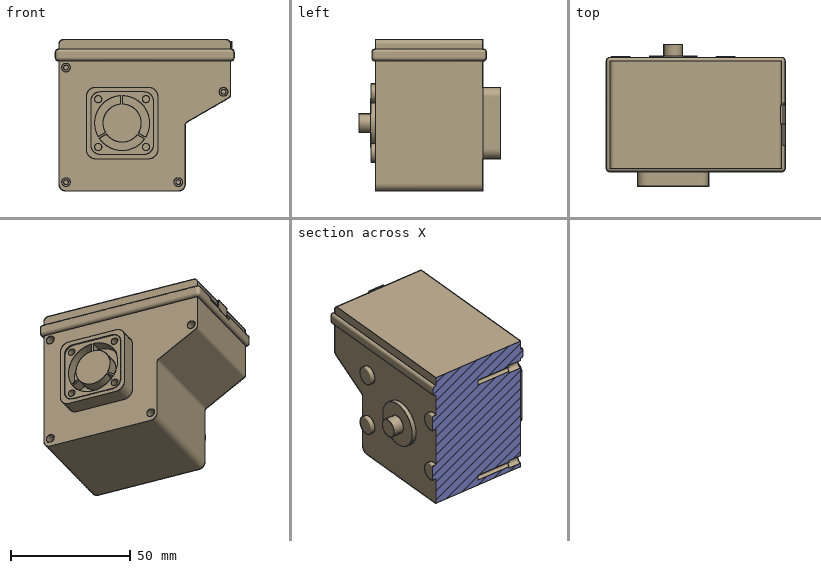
import cadquery as cq
import math

body_depth = 45.0
body_height = 63.5
body_width = 72.0
lower_width = 53.0
base_radius = 3.0
top_radius = 2.0
overhang_angle = 30.0
overhang_start = 28.5
overhang_radius = 1.5
front = -body_depth / 2
back = body_depth / 2

clearance = 0.75

rim_overhang = 1.5
rim_height = 4.95
rim_drop = 4.05
rim_top = body_height - rim_drop
rim_corner_radius = 1.5
rim_edge_radius = 1.35

axis_x = lower_width / 2
axis_z = 28.5
fan_size = 30.0
fan_height = 7.5
fan_corner_radius = 4.0
fan_recess_inset = 1.9
fan_recess_depth = 0.5
fan_hole_spacing = 20.0
fan_hole_diameter = 3.0
fan_hole_depth = 6.0
duct_diameter = 23.0
hub_diameter = 16.0
duct_depth = 5.5
spoke_count = 3
first_spoke_angle = -90
spoke_width = 0.8
spokes_shift_x = -0.3
spokes_shift_z = -0.5

screw_inset = 3.0
lower_screw_z = 3.75
overhang_screw_z = 41.6
upper_screw_z = 51.75
screw_head_diameter = 3.6
screw_head_depth = 6.0
screw_shank_diameter = 2.0

flange_diameter = 20.0
flange_height = 2.0
knob_diameter = 8.0
knob_height = 7.0
foot_diameter = 8.0
foot_height = 1.95
foot_edge_radius = 0.5
foot_spacing_x = 44.0
foot_spacing_z = 25.0

latch_width = 8.0
latch_thickness = 0.5
latch_corner_radius = 0.5
latch_drop = 0.8
latch_top = body_height - latch_drop
notch_floor = rim_top - rim_height / 2
notch_extension = 8.85
notch_extension_rise = 0.4
notch_step_width = 0.9
notch_step_depth = 0.5


def box(x_range, y_range, z_range):
    """Box between the given limits along X, Y and Z."""
    (x0, x1), (y0, y1), (z0, z1) = x_range, y_range, z_range
    return cq.Workplane("XY").box(x1 - x0, y1 - y0, z1 - z0, centered=False).translate((x0, y0, z0))


def plane_facing_back(y):
    """Sketch plane at the given Y, centred on the fan axis, with +Y outward and its own y axis along -Z."""
    return cq.Workplane(cq.Plane(origin=(axis_x, y, axis_z), xDir=(1, 0, 0), normal=(0, 1, 0)))


def make_housing():
    overhang_rise = (body_width - lower_width) * math.tan(math.radians(overhang_angle))
    outline = [
        (0, 0),
        (lower_width, 0),
        (lower_width, overhang_start),
        (body_width, overhang_start + overhang_rise),
        (body_width, body_height),
        (0, body_height),
    ]
    housing = cq.Workplane("XZ").polyline(outline).close().extrude(body_depth / 2, both=True)
    housing = housing.edges("|Y and <Z").fillet(base_radius)
    housing = housing.edges("|Y and >Z").fillet(top_radius)
    overhang_zone = cq.selectors.BoxSelector(
        (lower_width - clearance, front - clearance, overhang_start - clearance),
        (body_width + clearance, back + clearance, overhang_start + overhang_rise + clearance),
    )
    return housing.edges("|Y").edges(overhang_zone).fillet(overhang_radius)


def make_rim():
    rim = box(
        (-rim_overhang, body_width + rim_overhang),
        (front - rim_overhang, back + rim_overhang),
        (rim_top - rim_height, rim_top),
    )
    rim = rim.edges("|Z").fillet(rim_corner_radius)
    return rim.faces("<Z or >Z").edges().fillet(rim_edge_radius)


def make_latch():
    plate = box(
        (body_width - top_radius, body_width + latch_thickness),
        (-latch_width / 2, latch_width / 2),
        (notch_floor, latch_top),
    )
    return plate.edges("|X and >Z").fillet(latch_corner_radius)


def make_latch_notch():
    x_range = (body_width + latch_thickness, body_width + rim_overhang + clearance)
    half = latch_width / 2
    main = box(x_range, (-half, half), (notch_floor, rim_top))
    extension = box(x_range, (-half - notch_extension, -half), (notch_floor + notch_extension_rise, rim_top))
    step = box(x_range, (half, half + notch_step_width), (rim_top - notch_step_depth, rim_top))
    return main.union(extension).union(step)


def make_fan_frame():
    frame = plane_facing_back(front).rect(fan_size, fan_size).extrude(-fan_height)
    return frame.edges("|Y").fillet(fan_corner_radius)


def make_fan_cuts():
    recess_size = fan_size - 2 * fan_recess_inset
    recess_floor = front - fan_height + fan_recess_depth
    recess = plane_facing_back(front - fan_height).rect(recess_size, recess_size).extrude(fan_recess_depth)
    recess = recess.edges("|Y").fillet(fan_corner_radius)

    face = plane_facing_back(recess_floor)
    holes = (
        face.rect(fan_hole_spacing, fan_hole_spacing, forConstruction=True)
        .vertices()
        .circle(fan_hole_diameter / 2)
        .extrude(fan_hole_depth)
    )
    duct = face.circle(duct_diameter / 2).circle(hub_diameter / 2).extrude(duct_depth)
    for index in range(spoke_count):
        angle = first_spoke_angle + index * 360 / spoke_count
        spoke = (
            face.center(spokes_shift_x, -spokes_shift_z)
            .transformed(rotate=(0, 0, angle))
            .center(duct_diameter / 2, 0)
            .rect(duct_diameter, spoke_width)
            .extrude(duct_depth)
        )
        duct = duct.cut(spoke)
    return recess.union(holes).union(duct)


def make_screw_holes():
    centers = [
        (screw_inset, lower_screw_z),
        (lower_width - screw_inset, lower_screw_z),
        (body_width - screw_inset, overhang_screw_z),
        (screw_inset, upper_screw_z),
    ]
    face = cq.Workplane("XZ", origin=(0, front, 0)).pushPoints(centers)
    heads = face.circle(screw_head_diameter / 2).extrude(-screw_head_depth)
    shanks = face.circle(screw_shank_diameter / 2).extrude(-body_depth / 2)
    return heads.union(shanks)


def make_back_fittings():
    face = plane_facing_back(back)
    flange = face.circle(flange_diameter / 2).extrude(flange_height)
    knob = face.circle(knob_diameter / 2).extrude(knob_height)
    feet = (
        face.rect(foot_spacing_x, foot_spacing_z, forConstruction=True)
        .vertices()
        .circle(foot_diameter / 2)
        .extrude(foot_height)
        .faces(">Y")
        .edges()
        .fillet(foot_edge_radius)
    )
    return flange.union(knob).union(feet)


result = (
    make_housing()
    .union(make_rim().cut(make_latch_notch()))
    .union(make_latch())
    .union(make_fan_frame())
    .union(make_back_fittings())
    .cut(make_fan_cuts())
    .cut(make_screw_holes())
)